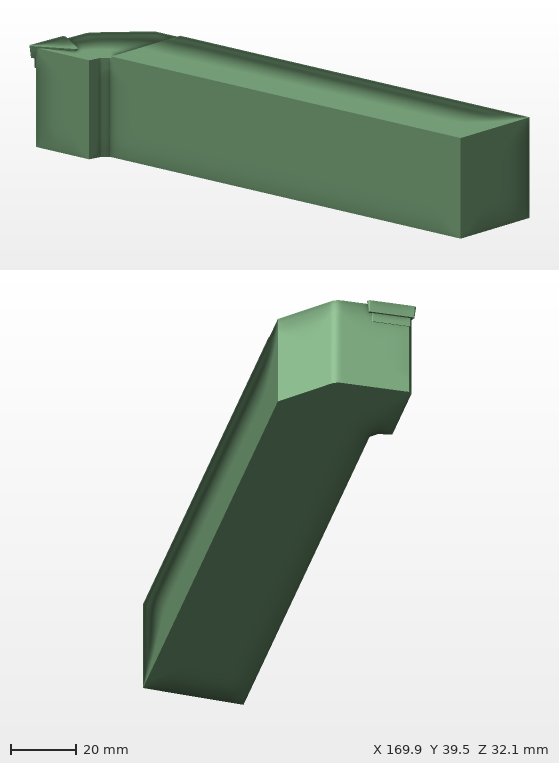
import cadquery as cq
import math


nose_lean = 3.0

shank_size = 32.0
tool_length = 169.93
shank_start = 27.3

tip_reach = 39.46
head_drop = 0.5
head_height = shank_size - head_drop
head_front_y = -38.4
nose_x = 1.30
corner_chamfer = 1.0
bevel_start_x = 16.9
bevel_radius = 4.8
heel_front_x = 23.9
heel_top_x = 24.7
neck_end_x = 26.8

insert_edge = 16.5
insert_corner_radius = 0.8
insert_thickness = 3.97
insert_clearance = 7.0
insert_top = 32.1
insert_bottom = insert_top - insert_thickness
insert_inradius = insert_edge / (2 * math.sqrt(3))

shim_thickness = 3.18
shim_inset = 0.55
shim_corner_radius = 0.4
shim_bottom = insert_bottom - shim_thickness
clearance_inset = insert_thickness * math.tan(math.radians(insert_clearance))
shim_inradius = insert_inradius - clearance_inset - shim_inset

tip_angle = math.radians(60 - nose_lean)
tip_arc_distance = 2 * (insert_inradius - insert_corner_radius)
insert_x = tip_arc_distance * math.cos(tip_angle) + insert_corner_radius
insert_y = tip_arc_distance * math.sin(tip_angle) + insert_corner_radius - tip_reach


def rounded_triangle(inradius, corner_radius, plane_z):
    """Closed outline with rounded corners around the insert's centre."""
    corner_distance = 2 * (inradius - corner_radius)
    arc_centres = []
    for turn in (0, 120, 240):
        angle = tip_angle + math.pi + math.radians(turn)
        arc_centres.append((corner_distance * math.cos(angle), corner_distance * math.sin(angle)))
    return (
        cq.Workplane("XY", origin=(insert_x, insert_y, plane_z))
        .polyline(arc_centres)
        .close()
        .offset2D(corner_radius)
    )


def make_insert():
    top_outline = rounded_triangle(insert_inradius, insert_corner_radius, insert_top)
    return top_outline.extrude(-insert_thickness, taper=insert_clearance)


def make_shim():
    return rounded_triangle(shim_inradius, shim_corner_radius, shim_bottom).extrude(shim_thickness)


def make_head():
    nose_y = head_front_y + corner_chamfer
    slope = math.tan(math.radians(nose_lean))
    bevel_end_x = (nose_x - slope * (bevel_start_x + nose_y)) / (1 - slope)
    bevel_end_y = bevel_end_x - bevel_start_x
    heel_top_y = -shank_size - (neck_end_x - heel_top_x)
    head = (
        cq.Workplane("XY")
        .polyline([
            (shank_start, 0),
            (bevel_start_x, 0),
            (bevel_end_x, bevel_end_y),
            (nose_x, nose_y),
            (nose_x + corner_chamfer, head_front_y),
            (heel_front_x, head_front_y),
            (heel_top_x, heel_top_y),
            (neck_end_x, -shank_size),
            (shank_start, -shank_size),
        ])
        .close()
        .extrude(head_height)
    )
    bevel_edge = cq.selectors.NearestToPointSelector((bevel_end_x, bevel_end_y, head_height / 2))
    return head.edges(bevel_edge).fillet(bevel_radius)


def make_shank():
    shank_length = tool_length - shank_start
    return (
        cq.Workplane("XY", origin=(shank_start, -shank_size, 0))
        .box(shank_length, shank_size, shank_size, centered=False)
    )


def make_holder(insert):
    return make_head().union(make_shank()).union(make_shim()).cut(insert)


insert = make_insert()
holder = make_holder(insert)

result = cq.Compound.makeCompound([holder.val(), insert.val()])